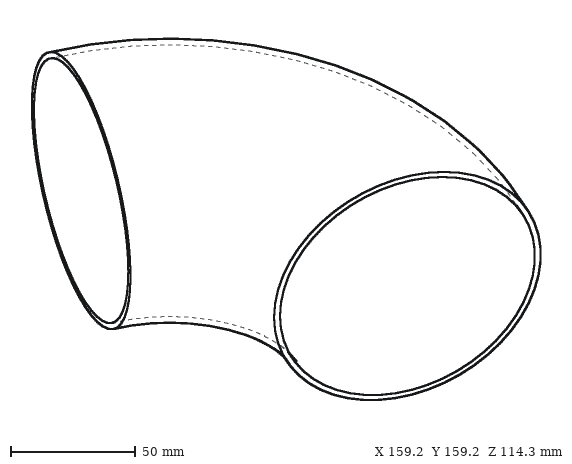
import cadquery as cq

overall_length = 159.2
pipe_diameter = 114.3
wall_thickness = 2.5
bend_angle = 90.0

pipe_radius = pipe_diameter / 2
bore_radius = pipe_radius - wall_thickness
bend_radius = overall_length - pipe_radius

pipe_section = (
    cq.Workplane("XZ")
    .center(-bend_radius, 0)
    .circle(pipe_radius)
    .circle(bore_radius)
)

axis_start = (bend_radius, 0)
axis_end = (bend_radius, -1)
result = pipe_section.revolve(bend_angle, axis_start, axis_end)